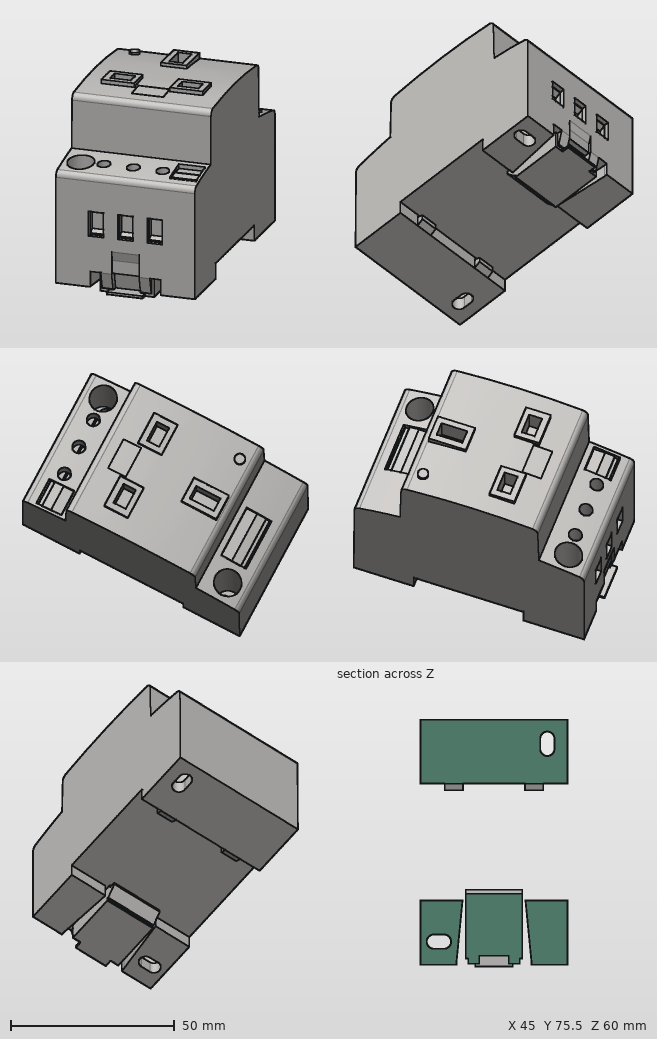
import cadquery as cq
import math


WIDTH = 45.0
FOOT_LENGTH = 74.95
BODY_LENGTH = 74.7
MID_Y = 37.3
CROWN_Z = 57.45
CROWN_RADIUS = 188.7
TOWER_HALF_TOP = 22.2
TOWER_HALF_BASE = 22.6
SHOULDER_Z = 38.8
SHOULDER_RADIUS = 163.8
EDGE_RADIUS = 2.05

RAIL_FRONT_Y = 19.7
RAIL_BACK_Y = 55.4
RAIL_ROOF_Z = 5.05
HOOK_INNER_X = 9.4
HOOK_WIDTH = 5.65
HOOK_REACH = 2.1
HOOK_TOP_Z = 4.0
HOOK_NOSE_Z = (1.3, 3.2)

NOTCH_HALF_FRONT = 11.4
NOTCH_HALF_BACK = 9.6
NOTCH_STRAIGHT = 1.1
CLIP_HALF_WIDTH = 8.7
CLIP_FRONT_Y = 1.9
CLIP_BACK_Y = 19.5
CLIP_BOTTOM_Z = -1.6
CATCH_NECK_Y = 20.75
CATCH_NECK_Z = 4.1
CATCH_TIP_Y = 23.0
CATCH_TIP_Z = (3.0, 3.8)
CATCH_HEEL_Y = 19.9
CATCH_HEEL_Z = -0.5
PAD_HALF_WIDTH = 7.9
PAD_BOTTOM_Z = -0.4
PAD_SLOPE = 0.25
LIP_HALF_WIDTH = 5.7
LIP_FRONT_Y = -0.5
LIP_TOP_Z = -0.75
FINGER_HALF_WIDTH = 4.45
FINGER_PAD_DEPTH = 2.5
FINGER_TOP_Z = 12.3
FINGER_CEILING_DROP = 3.0

TERMINAL_PITCH = 9.5
SCREW_Y = 7.55
SCREW_RADIUS = 2.05
SCREW_HEAD_Z = 30.95
SCREW_SLOT_WIDTH = 0.5
SCREW_SLOT_DEPTH = 0.5
WIRE_MOUTH_WIDTH = 4.8
WIRE_MOUTH_DEPTH = 1.5
WIRE_WIDTH = 4.7
WIRE_DEPTH = 3.4
WIRE_SILL_Z = 16.5
WIRE_TOP_Z = 24.5
FUNNEL_FLOOR_STEP = 0.5
FUNNEL_FLOOR_RISE = 1.35
FUNNEL_CEILING_STEP = 0.3
FUNNEL_CEILING_DROP = 1.35

MOUNT_RADIUS = 4.2
MOUNT_SLOT_LENGTH = 7.4
MOUNT_SLOT_WIDTH = 4.3
MOUNT_SEAT_Z = 5.05
FRONT_MOUNT = (-16.8, 7.1)
BACK_MOUNT = (16.3, 67.55)

FRONT_POCKET_X = (12.9, 21.4)
BACK_POCKET_X = (-7.0, 9.7)
POCKET_LEDGE_DEPTH = 0.3
POCKET_GROOVE_DEPTH = 1.6
POCKET_STEP_DEPTH = 0.8
POCKET_STEP_FLOOR_DEPTH = 1.0
POCKET_BACK_DEPTH = 1.4

FRAME_TOP_Z = 58.35
FRAME_WINDOW_DEPTH = 6.8
BACK_FRAME_CENTER = (0, 51.2)
BACK_FRAME_SIZE = (8.3, 12.1)
BACK_WINDOW_CENTER = (0.1, 51.2)
BACK_WINDOW_SIZE = (4.4, 8.4)
SIDE_FRAME_X = 11.1
SIDE_FRAME_Y = 29.0
SIDE_FRAME_SIZE = (10.6, 8.15)
SIDE_WINDOW_X = 10.95
SIDE_WINDOW_Y = 29.1
SIDE_WINDOW_SIZE = (6.65, 4.2)
PLATE_X = (-5.0, 5.2)
PLATE_Y = (20.4, 26.5)
PLATE_HEIGHT = 0.1
LAMP_CENTER = (-16.0, 54.7)
LAMP_RADIUS = 1.65
LAMP_TOP_Z = 57.45

ROOT_DEPTH = 3.8


def box(x_range, y_range, z_range):
    """Box spanning the given (low, high) ranges."""
    size = [high - low for low, high in (x_range, y_range, z_range)]
    corner = (x_range[0], y_range[0], z_range[0])
    return cq.Workplane("XY").box(*size, centered=False).translate(corner)


def side_profile(points, x_range):
    """Polygon of (y, z) points extruded across X."""
    low, high = x_range
    return cq.Workplane("YZ").polyline(points).close().extrude(high - low).translate((low, 0, 0))


def symmetric(half):
    """Range centered on zero."""
    return (-half, half)


def crown_z(y):
    """Height of the tower's curved top."""
    return CROWN_Z - CROWN_RADIUS + math.sqrt(CROWN_RADIUS**2 - (y - MID_Y) ** 2)


def shoulder_z(y):
    """Height of the curved shoulders on both sides of the tower."""
    center_z = SHOULDER_Z - math.sqrt(SHOULDER_RADIUS**2 - TOWER_HALF_BASE**2)
    return center_z + math.sqrt(SHOULDER_RADIUS**2 - (y - MID_Y) ** 2)


def housing():
    """Stepped body with a central tower and the rail channel, extruded across X."""
    tower_front = MID_Y - TOWER_HALF_TOP
    tower_back = MID_Y + TOWER_HALF_TOP
    base_front = MID_Y - TOWER_HALF_BASE
    base_back = MID_Y + TOWER_HALF_BASE
    front_mid = base_front / 2
    back_mid = (base_back + BODY_LENGTH) / 2
    solid = (
        cq.Workplane("YZ")
        .moveTo(0, 0)
        .lineTo(0, shoulder_z(0))
        .threePointArc((front_mid, shoulder_z(front_mid)), (base_front, SHOULDER_Z))
        .lineTo(tower_front, crown_z(tower_front))
        .threePointArc((MID_Y, CROWN_Z), (tower_back, crown_z(tower_back)))
        .lineTo(base_back, SHOULDER_Z)
        .threePointArc((back_mid, shoulder_z(back_mid)), (BODY_LENGTH, shoulder_z(BODY_LENGTH)))
        .lineTo(FOOT_LENGTH, 0)
        .lineTo(RAIL_BACK_Y, 0)
        .lineTo(RAIL_BACK_Y, RAIL_ROOF_Z)
        .lineTo(RAIL_FRONT_Y, RAIL_ROOF_Z)
        .lineTo(RAIL_FRONT_Y, 0)
        .close()
        .extrude(WIDTH / 2, both=True)
    )
    rounded_edges = [
        (0, shoulder_z(0)),
        (tower_front, crown_z(tower_front)),
        (tower_back, crown_z(tower_back)),
        (BODY_LENGTH, shoulder_z(BODY_LENGTH)),
    ]
    for y, z in rounded_edges:
        edge = cq.selectors.NearestToPointSelector((0, y, z))
        solid = solid.edges("|X").edges(edge).fillet(EDGE_RADIUS)
    return solid


def rail_hook():
    """Fixed hook on the back wall of the rail channel, on the +X half."""
    points = [
        (RAIL_BACK_Y, 0),
        (RAIL_BACK_Y, HOOK_TOP_Z),
        (RAIL_BACK_Y - HOOK_REACH, HOOK_NOSE_Z[1]),
        (RAIL_BACK_Y - HOOK_REACH, HOOK_NOSE_Z[0]),
    ]
    return side_profile(points, (HOOK_INNER_X, HOOK_INNER_X + HOOK_WIDTH))


def clip_notch():
    """Notch through the front foot, narrowing from its mouth to the rail channel."""
    right_side = [
        (NOTCH_HALF_FRONT, 0),
        (NOTCH_HALF_FRONT, NOTCH_STRAIGHT),
        (NOTCH_HALF_BACK, RAIL_FRONT_Y),
    ]
    left_side = [(-x, y) for x, y in reversed(right_side)]
    return cq.Workplane("XY").polyline(right_side + left_side).close().extrude(RAIL_ROOF_Z)


def finger_recess():
    """Shallow recess in the front wall above the clip, with a sloped ceiling."""
    depth = PAD_SLOPE * FINGER_CEILING_DROP
    points = [
        (0, RAIL_ROOF_Z),
        (0, FINGER_TOP_Z),
        (depth, FINGER_TOP_Z - FINGER_CEILING_DROP),
        (depth, RAIL_ROOF_Z),
    ]
    return side_profile(points, symmetric(FINGER_HALF_WIDTH))


def clip():
    """Sliding clip: frame with a catch at the back, sloped pad and pull lip at the front."""
    frame_points = [
        (CLIP_FRONT_Y, CLIP_BOTTOM_Z),
        (CLIP_FRONT_Y, RAIL_ROOF_Z),
        (CATCH_NECK_Y, RAIL_ROOF_Z),
        (CATCH_NECK_Y, CATCH_NECK_Z),
        (CATCH_TIP_Y, CATCH_TIP_Z[1]),
        (CATCH_TIP_Y, CATCH_TIP_Z[0]),
        (CATCH_HEEL_Y, CATCH_HEEL_Z),
        (CLIP_BACK_Y, CATCH_HEEL_Z),
        (CLIP_BACK_Y, CLIP_BOTTOM_Z),
    ]
    pad_foot_y = PAD_SLOPE * (RAIL_ROOF_Z - PAD_BOTTOM_Z)
    pad_points = [
        (0, RAIL_ROOF_Z),
        (CLIP_FRONT_Y, RAIL_ROOF_Z),
        (CLIP_FRONT_Y, PAD_BOTTOM_Z),
        (pad_foot_y, PAD_BOTTOM_Z),
    ]
    finger_foot_y = FINGER_PAD_DEPTH + pad_foot_y
    finger_points = [
        (0, RAIL_ROOF_Z),
        (FINGER_PAD_DEPTH, RAIL_ROOF_Z),
        (finger_foot_y, LIP_TOP_Z),
        (0, LIP_TOP_Z),
    ]
    frame = side_profile(frame_points, symmetric(CLIP_HALF_WIDTH))
    pad = side_profile(pad_points, symmetric(PAD_HALF_WIDTH))
    finger_hollow = side_profile(finger_points, symmetric(FINGER_HALF_WIDTH))
    lip = box(symmetric(LIP_HALF_WIDTH), (LIP_FRONT_Y, CLIP_FRONT_Y), (CLIP_BOTTOM_Z, LIP_TOP_Z))
    return frame.union(pad).cut(finger_hollow).union(lip)


def terminal(x):
    """Screw well from the shoulder and wire entry from the front wall."""
    well = (
        cq.Workplane("XY", origin=(x, SCREW_Y, SCREW_HEAD_Z))
        .circle(SCREW_RADIUS)
        .extrude(shoulder_z(MID_Y) - SCREW_HEAD_Z)
    )
    screw_slot = (
        cq.Workplane("XY", origin=(x, SCREW_Y, SCREW_HEAD_Z))
        .rect(2 * SCREW_RADIUS, SCREW_SLOT_WIDTH)
        .extrude(-SCREW_SLOT_DEPTH)
    )
    mouth = box(
        (x - WIRE_MOUTH_WIDTH / 2, x + WIRE_MOUTH_WIDTH / 2),
        (0, WIRE_MOUTH_DEPTH),
        (WIRE_SILL_Z, WIRE_TOP_Z),
    )
    funnel_points = [
        (WIRE_MOUTH_DEPTH, WIRE_SILL_Z + FUNNEL_FLOOR_STEP),
        (WIRE_DEPTH, WIRE_SILL_Z + FUNNEL_FLOOR_RISE),
        (WIRE_DEPTH, WIRE_TOP_Z - FUNNEL_CEILING_DROP),
        (WIRE_MOUTH_DEPTH, WIRE_TOP_Z - FUNNEL_CEILING_STEP),
    ]
    funnel = side_profile(funnel_points, (x - WIRE_WIDTH / 2, x + WIRE_WIDTH / 2))
    return well.union(screw_slot).union(mouth).union(funnel)


def mounting_hole(center, slot_angle):
    """Counterbore from the shoulder with a slotted hole through the foot."""
    bore = (
        cq.Workplane("XY", origin=(*center, MOUNT_SEAT_Z))
        .circle(MOUNT_RADIUS)
        .extrude(shoulder_z(MID_Y) - MOUNT_SEAT_Z)
    )
    slot = (
        cq.Workplane("XY", origin=(*center, 0))
        .slot2D(MOUNT_SLOT_LENGTH, MOUNT_SLOT_WIDTH, slot_angle)
        .extrude(MOUNT_SEAT_Z)
    )
    return bore.union(slot)


def label_pocket(x_range):
    """Stepped pocket in the front shoulder, its floor following the shoulder's slope."""
    ledge_y, groove_y, step_y, floor_y, back_y = 4.15, 4.75, 6.05, 9.1, 12.75
    top_z = shoulder_z(MID_Y)
    points = [
        (ledge_y, top_z),
        (ledge_y, shoulder_z(ledge_y) - POCKET_LEDGE_DEPTH),
        (groove_y, shoulder_z(groove_y) - POCKET_LEDGE_DEPTH),
        (groove_y, shoulder_z(groove_y) - POCKET_GROOVE_DEPTH),
        (step_y, shoulder_z(step_y) - POCKET_GROOVE_DEPTH),
        (step_y, shoulder_z(step_y) - POCKET_STEP_DEPTH),
        (floor_y, shoulder_z(floor_y) - POCKET_STEP_DEPTH),
        (floor_y, shoulder_z(floor_y) - POCKET_STEP_FLOOR_DEPTH),
        (back_y, shoulder_z(back_y) - POCKET_BACK_DEPTH),
        (back_y, top_z),
    ]
    return side_profile(points, x_range)


def framed_window(solid, center, frame_size, window_center, window_size):
    """Raised flat-topped frame on the tower with a rectangular well in it."""
    base_z = FRAME_TOP_Z - FRAME_WINDOW_DEPTH
    frame = cq.Workplane("XY", origin=(*center, base_z)).rect(*frame_size).extrude(FRAME_WINDOW_DEPTH)
    well = (
        cq.Workplane("XY", origin=(*window_center, base_z))
        .rect(*window_size)
        .extrude(FRAME_WINDOW_DEPTH)
    )
    return solid.union(frame).cut(well)


def name_plate():
    """Thin plate following the crown."""
    front_y, back_y = PLATE_Y
    base_z = CROWN_Z - ROOT_DEPTH
    mid_y = (front_y + back_y) / 2
    return (
        cq.Workplane("YZ", origin=(PLATE_X[0], 0, 0))
        .moveTo(front_y, base_z)
        .lineTo(front_y, crown_z(front_y) + PLATE_HEIGHT)
        .threePointArc((mid_y, crown_z(mid_y) + PLATE_HEIGHT), (back_y, crown_z(back_y) + PLATE_HEIGHT))
        .lineTo(back_y, base_z)
        .close()
        .extrude(PLATE_X[1] - PLATE_X[0])
    )


def lamp():
    """Round indicator standing on the crown."""
    base_z = CROWN_Z - ROOT_DEPTH
    return (
        cq.Workplane("XY", origin=(*LAMP_CENTER, base_z))
        .circle(LAMP_RADIUS)
        .extrude(LAMP_TOP_Z - base_z)
    )


result = housing().union(rail_hook()).union(rail_hook().mirror("YZ"))
result = result.cut(clip_notch()).cut(finger_recess()).union(clip())

for index in (-1, 0, 1):
    result = result.cut(terminal(index * TERMINAL_PITCH))

result = result.cut(mounting_hole(FRONT_MOUNT, slot_angle=0))
result = result.cut(mounting_hole(BACK_MOUNT, slot_angle=90))

result = result.cut(label_pocket(FRONT_POCKET_X))
result = result.cut(label_pocket(BACK_POCKET_X).mirror("XZ", (0, MID_Y, 0)))

result = framed_window(
    result, BACK_FRAME_CENTER, BACK_FRAME_SIZE, BACK_WINDOW_CENTER, BACK_WINDOW_SIZE
)
for side in (-1, 1):
    frame_center = (side * SIDE_FRAME_X, SIDE_FRAME_Y)
    window_center = (side * SIDE_WINDOW_X, SIDE_WINDOW_Y)
    result = framed_window(result, frame_center, SIDE_FRAME_SIZE, window_center, SIDE_WINDOW_SIZE)

result = result.union(name_plate()).union(lamp())